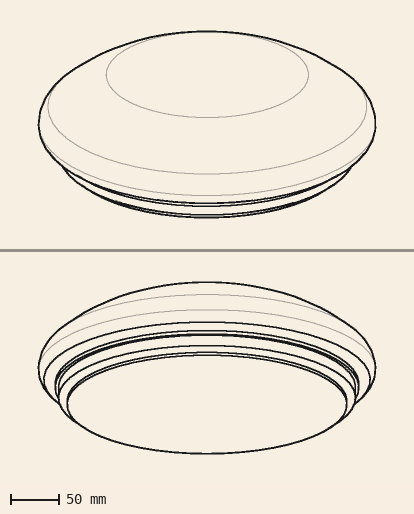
import cadquery as cq

total_height = 115.0
dome_radius = 349.2 / 2

foot_radius = 290 / 2
drum_radius = 307.5 / 2
rim_radius = 314.5 / 2
foot_top = 3.0
bevel_top = 7.5
rim_bottom = 19.0
rim_top = 22.7

crown_radius, crown_z = 104.8, 96.0
shoulder_radius, shoulder_z = 165.2, 59.7
widest_z = 39.5
underside_radius, underside_z = 169.0, 27.5


def make_base():
    """Stepped round base that carries the dome on its rim."""
    profile = (
        cq.Workplane("XZ")
        .lineTo(foot_radius, 0)
        .lineTo(foot_radius, foot_top)
        .lineTo(drum_radius, bevel_top)
        .lineTo(drum_radius, rim_bottom)
        .lineTo(rim_radius, rim_bottom)
        .lineTo(rim_radius, rim_top)
        .lineTo(0, rim_top)
        .close()
    )
    return profile.revolve(360, (0, 0, 0), (0, 1, 0))


def make_dome():
    """Shallow domed cover with a rounded edge, seated flat on the rim."""
    crown_drop = total_height - crown_z
    crown_arc_radius = (crown_radius**2 + crown_drop**2) / (2 * crown_drop)
    profile = (
        cq.Workplane("XZ")
        .moveTo(0, total_height)
        .radiusArc((crown_radius, crown_z), crown_arc_radius)
        .tangentArcPoint((shoulder_radius, shoulder_z), relative=False)
        .tangentArcPoint((dome_radius, widest_z), relative=False)
        .tangentArcPoint((underside_radius, underside_z), relative=False)
        .lineTo(rim_radius, rim_top)
        .lineTo(0, rim_top)
        .close()
    )
    return profile.revolve(360, (0, 0, 0), (0, 1, 0))


base = make_base()
dome = make_dome()

result = cq.Compound.makeCompound([base.val(), dome.val()])